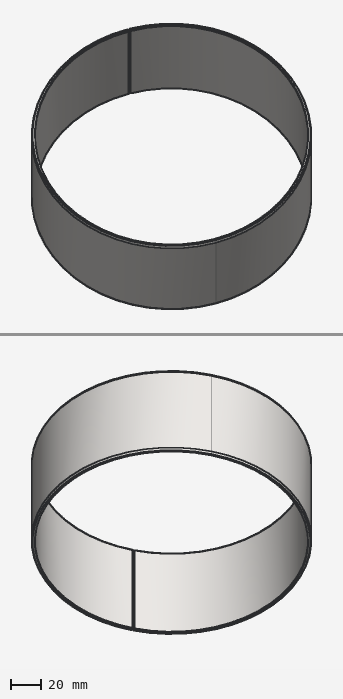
import cadquery as cq

outer_diameter = 185.0
height = 70.0
wall = 2.4
gap_width = 1.5
chamfer_height = 1.7
chamfer_depth = 0.7
inner_chamfer_height = 0.7
inner_chamfer_depth = 0.28

outer_radius = outer_diameter / 2
inner_radius = outer_radius - wall


def wall_profile():
    """Wall section in the XZ plane, bevelled on both sides of both rims."""
    return (
        cq.Workplane("XZ")
        .moveTo(inner_radius, inner_chamfer_height)
        .lineTo(inner_radius + inner_chamfer_depth, 0)
        .lineTo(outer_radius - chamfer_depth, 0)
        .lineTo(outer_radius, chamfer_height)
        .lineTo(outer_radius, height - chamfer_height)
        .lineTo(outer_radius - chamfer_depth, height)
        .lineTo(inner_radius + inner_chamfer_depth, height)
        .lineTo(inner_radius, height - inner_chamfer_height)
        .close()
    )


def gap_cutter():
    """Thin slab crossing the wall on the -X side, with one face on the XZ plane."""
    return cq.Workplane("XY").box(
        outer_diameter, gap_width, height, centered=(True, False, False)
    ).translate((-outer_radius, 0, 0))


sleeve = wall_profile().revolve(360, (0, 0, 0), (0, 1, 0))
result = sleeve.cut(gap_cutter())